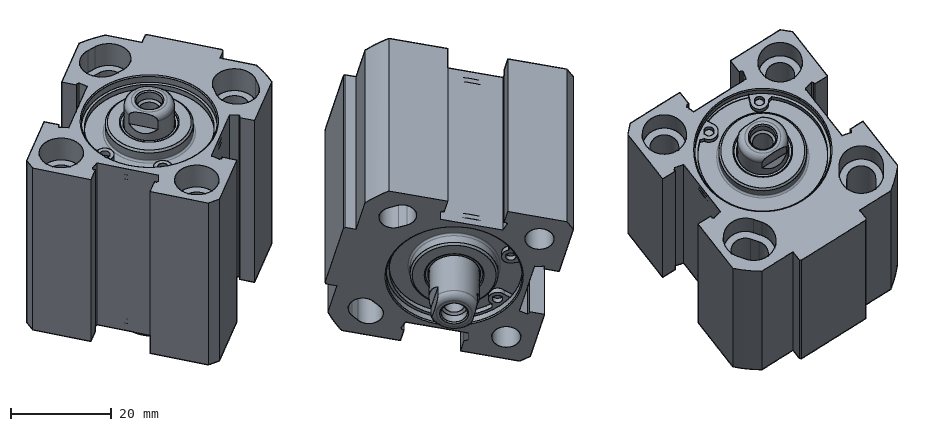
import cadquery as cq
import math


width = 40.0
half_width = width / 2
height = 43.25
back_flat_y = 22.0
rail_top_y = 24.5
rail_half_width = 8.1
rail_chamfer = 0.3
back_corner_radius = 27.0
front_chamfer = 1.8

side_slot_floor = 14.75
front_slot_floor = 14.9
slot_floor_half = 6.35
slot_lip = 16.9
slot_mouth_half = 6.1
slot_undercut_half = 6.85
slot_corner = 0.3

mount_offset = 14.05
mount_diameter = 5.8
mount_cbore_diameter = 8.8
mount_cbore_depth = 5.85
mount_slot_dx = 1.0
mount_slot_dy = 1.5

bore_diameter = 25.0
seat_diameter = 27.0
seat_chamfer = 0.25
end_thickness = 7.15

ring_depth = 1.8
ring_thickness = 1.2
ring_outer_diameter = 29.3
ring_inner_diameter = 25.8
ear_pitch_radius = 11.85
ear_angle = 30.7
ear_radius = 1.85
ear_hole_diameter = 2.0
ear_root_angle = 44.0
gap_half_angle = 22.0
ring_turn = -1.0

cover_diameter = 26.9
boss_diameter = 17.5
boss_drop = 0.25
boss_chamfer = 0.4
boss_root_fillet = 0.4
mouth_diameter = 11.4
mouth_chamfer = 0.25
mouth_depth = 0.3
clearance_diameter = 10.5
clearance_depth = 1.8

rod_diameter = 10.0
rod_top_reach = 5.65
rod_length = 59.5
rod_end_fillet = 1.4
flat_width = 8.05
flat_length = 3.6
core_diameter = 4.1
mouth_bore_diameter = 5.25
mouth_bore_depth = 2.1
mouth_bore_chamfer = 0.27
mouth_bore_cone = 0.35

pick_margin = 0.05

recess_depth = ring_depth + ring_thickness
seat_depth = recess_depth + end_thickness
boss_top = height - boss_drop
rod_radius = rod_diameter / 2
rod_top = height + rod_top_reach
rod_bottom = rod_top - rod_length


def cylinder(diameter, bottom, top):
    return cq.Workplane("XY").workplane(offset=bottom).circle(diameter / 2).extrude(top - bottom)


def cone(bottom_diameter, top_diameter, bottom, top):
    profile = [(0, bottom), (bottom_diameter / 2, bottom), (top_diameter / 2, top), (0, top)]
    return cq.Workplane("XZ").polyline(profile).close().revolve(360, (0, 0, 0), (0, 1, 0))


def flip_ends(body):
    """Mirror a top-end shape so that it sits at the bottom end of the housing."""
    return body.mirror("XY", (0, 0, height / 2))


def block():
    """Housing outline with the back rail, extruded to full height."""
    corner_x = math.sqrt(back_corner_radius**2 - back_flat_y**2)
    corner_y = math.sqrt(back_corner_radius**2 - half_width**2)
    middle_angle = (math.atan2(back_flat_y, corner_x) + math.atan2(corner_y, half_width)) / 2
    middle_x = back_corner_radius * math.cos(middle_angle)
    middle_y = back_corner_radius * math.sin(middle_angle)
    return (
        cq.Workplane("XY")
        .moveTo(0, -half_width)
        .lineTo(half_width - front_chamfer, -half_width)
        .lineTo(half_width, front_chamfer - half_width)
        .lineTo(half_width, corner_y)
        .threePointArc((middle_x, middle_y), (corner_x, back_flat_y))
        .lineTo(rail_half_width, back_flat_y)
        .lineTo(rail_half_width, rail_top_y - rail_chamfer)
        .lineTo(rail_half_width - rail_chamfer, rail_top_y)
        .lineTo(0, rail_top_y)
        .mirrorY()
        .extrude(height)
    )


def t_slot(floor):
    """Cutter for a slot in the front face."""
    right_side = [
        (slot_mouth_half, -half_width),
        (slot_mouth_half, -slot_lip),
        (slot_undercut_half - slot_corner, -slot_lip),
        (slot_undercut_half, slot_corner - slot_lip),
        (slot_floor_half, -floor),
    ]
    left_side = [(-x, y) for x, y in reversed(right_side)]
    return cq.Workplane("XY").polyline(right_side + left_side).close().extrude(height)


def round_slot(diameter, start, end, bottom, top):
    """Cutter with a straight slot outline between two end centres."""
    run_x = end[0] - start[0]
    run_y = end[1] - start[1]
    run = math.hypot(run_x, run_y)
    return (
        cq.Workplane("XY")
        .slot2D(run + diameter, diameter)
        .extrude(top - bottom)
        .rotate((0, 0, 0), (0, 0, 1), math.degrees(math.atan2(run_y, run_x)))
        .translate(((start[0] + end[0]) / 2, (start[1] + end[1]) / 2, bottom))
    )


def mounting_holes():
    """Cutters for the counterbored round holes in front and slotted holes behind."""
    cutters = []
    cbore_floor = height - mount_cbore_depth
    for side in (-1, 1):
        front = (side * mount_offset, -mount_offset, 0)
        cutters.append(cylinder(mount_diameter, 0, height).translate(front))
        cutters.append(cylinder(mount_cbore_diameter, cbore_floor, height).translate(front))
        start = (side * mount_offset, mount_offset)
        end = (start[0] - side * mount_slot_dx, start[1] + mount_slot_dy)
        cutters.append(round_slot(mount_diameter, start, end, 0, height))
        cutters.append(round_slot(mount_cbore_diameter, start, end, cbore_floor, height))
    return cutters


def rod_passage():
    """Stepped hole around the rod at the top end."""
    mouth_floor = boss_top - mouth_depth
    mouth_rim = mouth_diameter + 2 * mouth_chamfer
    return (
        cylinder(rod_diameter, height - seat_depth, height)
        .union(cylinder(clearance_diameter, mouth_floor - clearance_depth, height))
        .union(cylinder(mouth_diameter, mouth_floor, height))
        .union(cone(mouth_diameter, mouth_rim, boss_top - mouth_chamfer, boss_top))
    )


def end_plug(flange_diameter):
    """End of the cylinder with its boss and rod passage, at the top end."""
    face = height - recess_depth
    boss = cylinder(boss_diameter, face, boss_top).faces(">Z").chamfer(boss_chamfer)
    plug = cylinder(flange_diameter, height - seat_depth, face).union(boss)
    root = cq.selectors.BoxSelector(
        (-boss_diameter, -boss_diameter, face - pick_margin),
        (boss_diameter, boss_diameter, face + pick_margin),
    )
    root_edges = plug.edges(root).edges(cq.selectors.RadiusNthSelector(0))
    return root_edges.fillet(boss_root_fillet).cut(rod_passage())


def end_recess():
    """Recess with a lead-in chamfer and a snap ring groove, at the top end."""
    groove_top = height - ring_depth
    seat_rim = seat_diameter + 2 * seat_chamfer
    return (
        cylinder(seat_diameter, height - recess_depth, height)
        .union(cone(seat_diameter, seat_rim, height - seat_chamfer, height))
        .union(cylinder(ring_outer_diameter, groove_top - ring_thickness, groove_top))
    )


def make_housing():
    """Housing with an open top end and an end wall of its own at the bottom."""
    body = block()
    body = body.cut(t_slot(front_slot_floor))
    for turn in (-90, 90):
        body = body.cut(t_slot(side_slot_floor).rotate((0, 0, 0), (0, 0, 1), turn))
    for cutter in mounting_holes():
        body = body.cut(cutter)
    body = body.cut(end_recess()).cut(cylinder(seat_diameter, height - seat_depth, height))
    body = body.cut(cylinder(bore_diameter, seat_depth, height))
    body = body.cut(flip_ends(end_recess())).cut(flip_ends(rod_passage()))
    return body.union(flip_ends(end_plug(seat_diameter)))


def at_angle(radius, angle):
    """Point at an angle from -Y, positive towards +X."""
    turn = math.radians(angle)
    return (radius * math.sin(turn), -radius * math.cos(turn))


def make_snap_ring():
    """Open ring with a drilled ear on each side of its gap, at the top end."""
    bottom = height - recess_depth
    top = height - ring_depth
    gap = [
        (0, 0),
        at_angle(ring_outer_diameter, -gap_half_angle),
        at_angle(ring_outer_diameter, gap_half_angle),
    ]
    gap_cutter = cq.Workplane("XY").polyline(gap).close().extrude(height)
    ring = cylinder(ring_outer_diameter, bottom, top)
    ring = ring.cut(cylinder(ring_inner_diameter, bottom, top)).cut(gap_cutter)
    ring_middle = (ring_inner_diameter + ring_outer_diameter) / 4
    for side in (-1, 1):
        centre = at_angle(ear_pitch_radius, side * ear_angle)
        lobe = cylinder(2 * ear_radius, bottom, top).translate((*centre, 0))
        web_outline = [
            centre,
            at_angle(ear_pitch_radius - ear_radius, side * ear_angle),
            at_angle(ring_middle, side * ear_root_angle),
            at_angle(ring_middle, side * gap_half_angle),
            at_angle(ear_pitch_radius, side * gap_half_angle),
        ]
        web = cq.Workplane("XY").workplane(offset=bottom).polyline(web_outline).close()
        ring = ring.union(lobe.union(web.extrude(ring_thickness)))
        ring = ring.cut(cylinder(ear_hole_diameter, bottom, top).translate((*centre, 0)))
    return ring.rotate((0, 0, 0), (0, 0, 1), ring_turn)


def wrench_flats():
    """Cutter for the pair of flats with sloped shoulders at the upper rod end."""
    half = flat_width / 2
    shoulder = rod_top - flat_length
    reach = 2 * (rod_radius - half)
    profile = [
        (half, rod_top),
        (half, shoulder),
        (half + reach, shoulder - reach),
        (half + reach, rod_top),
    ]
    flat = cq.Workplane("YZ").polyline(profile).close().extrude(rod_radius, both=True)
    return flat.union(flat.mirror("XZ"))


def end_bore():
    """Cutter for the wider, chamfered bore at the upper rod end."""
    floor = rod_top - mouth_bore_depth
    rim = mouth_bore_diameter + 2 * mouth_bore_chamfer
    return (
        cylinder(mouth_bore_diameter, floor, rod_top)
        .union(cone(core_diameter, mouth_bore_diameter, floor - mouth_bore_cone, floor))
        .union(cone(mouth_bore_diameter, rim, rod_top - mouth_bore_chamfer, rod_top))
    )


def make_rod():
    """Hollow through rod with the same flats and bore at both ends."""
    body = cylinder(rod_diameter, rod_bottom, rod_top).faces("<Z or >Z").edges().fillet(rod_end_fillet)
    body = body.cut(cylinder(core_diameter, rod_bottom, rod_top))
    middle = (0, 0, (rod_bottom + rod_top) / 2)
    for cutter in (wrench_flats(), end_bore()):
        body = body.cut(cutter).cut(cutter.mirror("XY", middle))
    return body


housing = make_housing()
cover = end_plug(cover_diameter)
rod = make_rod()
top_ring = make_snap_ring()
rings = [top_ring, flip_ends(top_ring)]

result = cq.Compound.makeCompound(
    [housing.val(), cover.val(), rod.val(), *[ring.val() for ring in rings]]
)